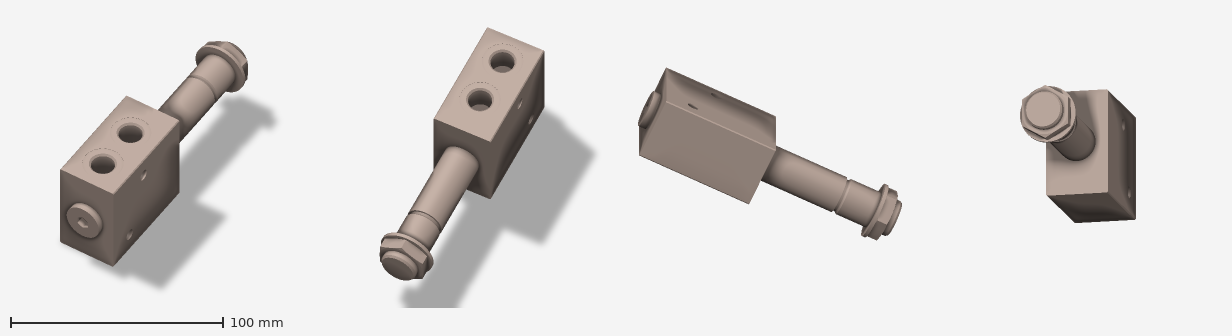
import cadquery as cq
import math

total_length = 129.5
front_end = -total_length / 2
rear_end = total_length / 2

block_width = 30.0
block_length = 57.1
block_height = 50.0
block_edge_chamfer = 0.5
plug_projection = 3.5
block_front = front_end + plug_projection
block_rear = block_front + block_length

port_offsets = (14.0, 38.0)
port_bore_diameter = 11.4
port_mouth_diameter = 13.2
port_depth = 13.0
spotface_diameter = 19.5
spotface_depth = 0.1

cross_hole_diameter = 5.6
cross_hole_height = 15.0
cross_holes = ((port_offsets[0], -cross_hole_height), (26.0, cross_hole_height))

stem_diameter = 18.0
counterbore_diameter = 19.0
counterbore_depth = 0.1
tip_chamfer_depth = 0.8
tip_chamfer_length = 1.0
groove_diameter = 16.0
groove_front = 35.7
groove_rear = 38.1
socket_across_flats = 6.0
socket_depth = 4.0

flange_diameter = 27.0
flange_front = 53.6
flange_thickness = 1.7
nut_across_flats = 22.3
nut_height = 5.8
nut_chamfer_angle = 15.0


def cylinder_along_y(diameter, start, end):
    """Round bar on the cartridge axis between two Y positions."""
    plane = cq.Plane(origin=(0, start, 0), xDir=(1, 0, 0), normal=(0, 1, 0))
    return cq.Workplane(plane).circle(diameter / 2).extrude(end - start)


def hexagon_along_y(across_flats, start, end):
    """Hexagonal prism with two flats facing +X and -X."""
    corner_radius = across_flats / math.sqrt(3)
    angles = [math.radians(30 + 60 * i) for i in range(6)]
    corners = [(corner_radius * math.cos(a), corner_radius * math.sin(a)) for a in angles]
    plane = cq.Plane(origin=(0, start, 0), xDir=(1, 0, 0), normal=(0, 1, 0))
    return cq.Workplane(plane).polyline(corners).close().extrude(end - start)


def revolve_about_y(profile):
    """Solid of revolution from (radius, y) points."""
    return cq.Workplane("XY").polyline(profile).close().revolve(360, (0, 0, 0), (0, 1, 0))


def port_cutter(y):
    """Spotface, countersunk mouth and blind bore, pointing down from the top face."""
    top = block_height / 2
    bore_radius = port_bore_diameter / 2
    mouth_radius = port_mouth_diameter / 2
    spotface_radius = spotface_diameter / 2
    seat = top - spotface_depth
    profile = [
        (0, top),
        (spotface_radius, top),
        (spotface_radius, seat),
        (mouth_radius, seat),
        (bore_radius, seat - (mouth_radius - bore_radius)),
        (bore_radius, top - port_depth),
        (0, top - port_depth),
    ]
    cutter = cq.Workplane("XZ").polyline(profile).close().revolve(360, (0, 0, 0), (0, 1, 0))
    return cutter.translate((0, y, 0))


def bore_cutter():
    """Through bore for the cartridge with a shallow counterbore in the front face."""
    bore = cylinder_along_y(stem_diameter, block_front, block_rear)
    return bore.union(cylinder_along_y(counterbore_diameter, block_front, block_front + counterbore_depth))


def cross_hole_cutter(y, z):
    """Round hole along X through the full width of the block."""
    circle = cq.Workplane("YZ").center(y, z).circle(cross_hole_diameter / 2)
    return circle.extrude(block_width / 2, both=True)


def make_block():
    """Block with chamfered long edges, cartridge bore, ports and cross holes."""
    block = cq.Workplane("XY").box(block_width, block_length, block_height)
    block = block.edges("|Y").chamfer(block_edge_chamfer)
    block = block.translate((0, block_front + block_length / 2, 0))
    block = block.cut(bore_cutter())
    for offset in port_offsets:
        block = block.cut(port_cutter(block_front + offset))
    for offset, height in cross_holes:
        block = block.cut(cross_hole_cutter(block_front + offset, height))
    return block


def make_stem():
    """Grooved stem with a chamfered rear tip and a hexagon socket in its front end."""
    radius = stem_diameter / 2
    groove_radius = groove_diameter / 2
    stem = revolve_about_y([
        (0, front_end),
        (radius, front_end),
        (radius, groove_front),
        (groove_radius, groove_front),
        (groove_radius, groove_rear - (radius - groove_radius)),
        (radius, groove_rear),
        (radius, rear_end - tip_chamfer_length),
        (radius - tip_chamfer_depth, rear_end),
        (0, rear_end),
    ])
    socket = hexagon_along_y(socket_across_flats, front_end, front_end + socket_depth)
    return stem.cut(socket)


def make_flanged_nut():
    """Round flange with a hexagon whose corners are chamfered at both ends."""
    hex_front = flange_front + flange_thickness
    hex_rear = hex_front + nut_height
    flat_radius = nut_across_flats / 2
    corner_radius = nut_across_flats / math.sqrt(3)
    drop = (corner_radius - flat_radius) * math.tan(math.radians(nut_chamfer_angle))
    envelope = revolve_about_y([
        (0, hex_front),
        (flat_radius, hex_front),
        (corner_radius, hex_front + drop),
        (corner_radius, hex_rear - drop),
        (flat_radius, hex_rear),
        (0, hex_rear),
    ])
    hexagon = hexagon_along_y(nut_across_flats, hex_front, hex_rear).intersect(envelope)
    return cylinder_along_y(flange_diameter, flange_front, hex_front).union(hexagon)


def make_cartridge():
    """Stem and flanged nut as one solid."""
    return make_stem().union(make_flanged_nut())


block = make_block()
cartridge = make_cartridge()

result = cq.Compound.makeCompound([block.val(), cartridge.val()])